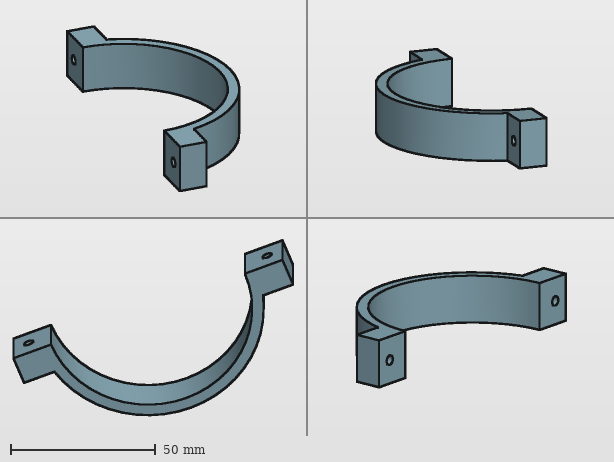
import cadquery as cq

overall_length = 100.0
outer_radius = 40.0
wall = 4.0
width = 17.0
flange_depth = 10.0
hole_diameter = 3.3
hole_offset = 44.3

inner_radius = outer_radius - wall


def half_disc(radius):
    """Half cylinder on the +Y side of the XZ plane, with its axis along Z."""
    return (
        cq.Workplane("XY")
        .moveTo(-radius, 0)
        .threePointArc((0, radius), (radius, 0))
        .close()
        .extrude(width)
    )


flange_bar = cq.Workplane("XY").box(
    overall_length, flange_depth, width, centered=(True, False, False)
)
clamp = half_disc(outer_radius).union(flange_bar).cut(half_disc(inner_radius))

screw_holes = (
    cq.Workplane("XZ")
    .pushPoints([(side * hole_offset, width / 2) for side in (-1, 1)])
    .circle(hole_diameter / 2)
    .extrude(-flange_depth)
)

result = clamp.cut(screw_holes)